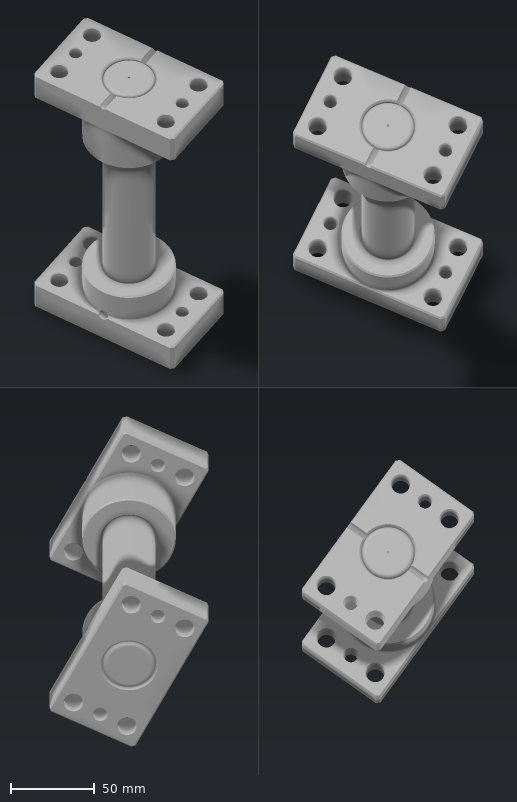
import cadquery as cq
import math

total_height = 200.0

plate_length = 100.0
plate_width = 58.0
plate_thickness = 20.0
plate_corner_chamfer = 2.0
plate_edge_chamfer = 1.0

boss_diameter = 56.0
upper_boss_height = 30.0
lower_boss_height = 20.0
boss_rim_chamfer = 1.0
boss_root_fillet = 1.0

pin_diameter = 32.0
pin_end_fillet = 3.0
center_mark_diameter = 1.5
center_mark_depth = 1.0
bore_chamfer = 1.2

hole_offset_x = 38.0
screw_hole_offset_y = 18.0
screw_hole_diameter = 11.0
dowel_hole_diameter = 8.0
hole_chamfer = 0.5

groove_radius = 2.0
vent_hole_diameter = 6.5


def axial_cone(start_diameter, depth):
    """Cutter that narrows upward from z = 0, for countersinking a hole on the Z axis."""
    end_diameter = start_diameter - 2 * depth
    solid = cq.Solid.makeCone(start_diameter / 2, end_diameter / 2, depth)
    return cq.Workplane("XY").newObject([solid])


def chamfered_hole(diameter, length, chamfer):
    """Cutter for a through hole from z = 0 to z = length with both mouths chamfered."""
    mouth = axial_cone(diameter + 2 * chamfer, chamfer)
    far_mouth = mouth.rotate((0, 0, 0), (1, 0, 0), 180).translate((0, 0, length))
    return cq.Workplane("XY").circle(diameter / 2).extrude(length).union(mouth).union(far_mouth)


def make_root_fillet():
    """Concave ring around the foot of the boss, trimmed to the flat of the plate's inner face."""
    boss_radius = boss_diameter / 2
    foot_radius = boss_radius + boss_root_fillet
    fillet_top = plate_thickness + boss_root_fillet
    arc_inset = boss_root_fillet * (1 - math.sqrt(0.5))
    ring_inner_radius = pin_diameter / 2 + bore_chamfer
    ring = (
        cq.Workplane("XZ")
        .moveTo(ring_inner_radius, plate_thickness)
        .lineTo(foot_radius, plate_thickness)
        .threePointArc(
            (boss_radius + arc_inset, plate_thickness + arc_inset),
            (boss_radius, fillet_top),
        )
        .lineTo(ring_inner_radius, fillet_top)
        .close()
        .revolve(360, (0, 0, 0), (0, 1, 0))
    )
    flat_width = plate_width - 2 * plate_edge_chamfer
    flat = cq.Workplane("XY").box(plate_length, flat_width, 2 * fillet_top)
    return ring.intersect(flat)


def make_flange(boss_height):
    """Plate on z = 0 with a boss rising from it, bored through, with its mounting holes."""
    plate = cq.Workplane("XY").box(
        plate_length, plate_width, plate_thickness, centered=(True, True, False)
    )
    plate = plate.edges("|Z").chamfer(plate_corner_chamfer)
    plate = plate.faces("<Z or >Z").edges().chamfer(plate_edge_chamfer)

    boss_top = plate_thickness + boss_height
    boss = cq.Workplane("XY").circle(boss_diameter / 2).extrude(boss_top)
    boss = boss.faces(">Z").edges().chamfer(boss_rim_chamfer)

    flange = plate.union(boss).union(make_root_fillet())
    flange = flange.cut(chamfered_hole(pin_diameter, boss_top, bore_chamfer))

    screw_hole = chamfered_hole(screw_hole_diameter, plate_thickness, hole_chamfer)
    dowel_hole = chamfered_hole(dowel_hole_diameter, plate_thickness, hole_chamfer)
    for x in (-hole_offset_x, hole_offset_x):
        flange = flange.cut(dowel_hole.translate((x, 0, 0)))
        for y in (-screw_hole_offset_y, screw_hole_offset_y):
            flange = flange.cut(screw_hole.translate((x, y, 0)))
    return flange


def make_lower_flange():
    """Flange at the bottom, with a vent hole from its -Y side into the bore."""
    vent_hole = (
        cq.Workplane("XZ")
        .center(0, plate_thickness)
        .circle(vent_hole_diameter / 2)
        .extrude(plate_width)
    )
    return make_flange(lower_boss_height).cut(vent_hole)


def make_upper_flange():
    """Inverted flange with a round-bottomed groove across its top face along Y."""
    flange = make_flange(upper_boss_height)
    flange = flange.rotate((0, 0, 0), (1, 0, 0), 180).translate((0, 0, total_height))
    groove = (
        cq.Workplane("XZ")
        .moveTo(-groove_radius, total_height)
        .threePointArc((0, total_height - groove_radius), (groove_radius, total_height))
        .close()
        .extrude(plate_width / 2, both=True)
    )
    return flange.cut(groove)


def make_pin():
    """Straight pin with rounded ends and a small center mark in its upper end."""
    pin = (
        cq.Workplane("XY")
        .circle(pin_diameter / 2)
        .extrude(total_height)
        .edges("%CIRCLE")
        .fillet(pin_end_fillet)
    )
    mark = (
        cq.Workplane("XY")
        .workplane(offset=total_height)
        .circle(center_mark_diameter / 2)
        .extrude(-center_mark_depth)
    )
    return pin.cut(mark)


lower_flange = make_lower_flange()
upper_flange = make_upper_flange()
pin = make_pin()

result = cq.Compound.makeCompound([lower_flange.val(), upper_flange.val(), pin.val()])